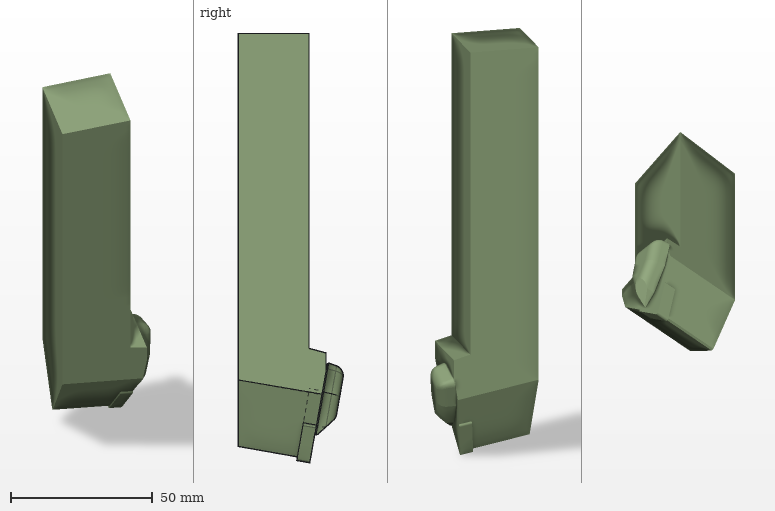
import cadquery as cq
import math


top_z = 151.4
shank_width = 25.0
shank_depth = 25.0
side_taper = 0.2

head_depth = 31.0
head_ledge_z = 40.4
ledge_angle = 15.0
rake_start_z = 32.7
rake_angle = 10.0

insert_angle = 55.0
insert_circle = 12.7
insert_thickness = 4.7
insert_nose_radius = 0.8

flank_inset = 0.6
holder_nose_flat = 0.9

clamp_height = 6.4
clamp_slope_foot = 10.0
clamp_slope_head = 18.2
clamp_draft = 10.0
clamp_top_fillet = 3.6
clamp_base_chamfer = 0.5
clamp_left_corner_radius = 2.3
clamp_right_corner_radius = 3.8

half_width = shank_width / 2
half_angle = math.radians(insert_angle / 2)
rake = math.radians(rake_angle)
nose_setback = insert_nose_radius * (1 / math.sin(half_angle) - 1)
tip_z = -nose_setback * math.cos(rake)
tip_y = head_depth - (rake_start_z - tip_z) * math.tan(rake)

rake_plane = cq.Plane(
    origin=(0, tip_y, tip_z),
    xDir=(1, 0, 0),
    normal=(0, -math.cos(rake), math.sin(rake)),
)
square_to_rake = cq.selectors.ParallelDirSelector(rake_plane.zDir)


def make_shank_and_head():
    """Square shank with a thicker head, limited by the tapered +X side."""
    ledge_edge_z = head_ledge_z - (head_depth - shank_depth) * math.tan(math.radians(ledge_angle))
    blank = (
        cq.Workplane("YZ", origin=(-half_width, 0, 0))
        .polyline([
            (0, tip_z),
            (tip_y, tip_z),
            (head_depth, rake_start_z),
            (head_depth, ledge_edge_z),
            (shank_depth, head_ledge_z),
            (shank_depth, top_z),
            (0, top_z),
        ])
        .close()
        .extrude(2 * shank_width)
    )
    taper_run = head_depth * math.tan(math.radians(side_taper))
    envelope = (
        cq.Workplane("XY", origin=(0, 0, tip_z))
        .polyline([
            (-half_width, 0),
            (half_width, 0),
            (half_width + taper_run, head_depth),
            (-half_width, head_depth),
        ])
        .close()
        .extrude(top_z - tip_z)
    )
    return blank.intersect(envelope)


def make_flank_wedge():
    """V-shaped prism, square to the rake face, that points the head."""
    apex = flank_inset / math.sin(half_angle)
    half_flat = holder_nose_flat / 2
    flat_height = apex + half_flat / math.tan(half_angle)
    far_height = 2 * top_z
    far_half_width = half_flat + (far_height - flat_height) * math.tan(half_angle)
    return (
        cq.Workplane(rake_plane)
        .polyline([
            (-half_flat, flat_height),
            (half_flat, flat_height),
            (far_half_width, far_height),
            (-far_half_width, far_height),
        ])
        .close()
        .extrude(top_z, both=True)
    )


def make_insert():
    """Diamond insert with rounded corners, its top face in the rake plane."""
    edge_length = insert_circle / math.sin(2 * half_angle)
    half_length = edge_length * math.cos(half_angle)
    half_breadth = edge_length * math.sin(half_angle)
    diamond = (
        cq.Workplane(rake_plane)
        .polyline([
            (0, 0),
            (half_breadth, half_length),
            (0, 2 * half_length),
            (-half_breadth, half_length),
        ])
        .close()
        .extrude(insert_thickness)
    )
    return diamond.edges(square_to_rake).fillet(insert_nose_radius)


def make_clamp():
    """Slanted clamp on the rake face, its nose sloping down onto the insert."""
    outline = [
        (-15.0, 32.8),
        (-9.4, 22.2),
        (-1.7, 13.8),
        (4.0, 10.9),
        (3.6, 26.3),
        (-1.5, 37.8),
    ]
    foot = (
        cq.Sketch()
        .polygon(outline + outline[:1])
        .vertices("<X")
        .fillet(clamp_left_corner_radius)
        .reset()
        .vertices(">Y")
        .fillet(clamp_right_corner_radius)
    )
    block = cq.Workplane(rake_plane).placeSketch(foot).extrude(-clamp_height, taper=clamp_draft)

    side_plane = cq.Plane(origin=rake_plane.origin, xDir=rake_plane.yDir, normal=(-1, 0, 0))
    behind_clamp = 2 * max(y for _, y in outline)
    profile = (
        cq.Workplane(side_plane)
        .polyline([
            (clamp_slope_foot, 0),
            (clamp_slope_head, clamp_height),
            (behind_clamp, clamp_height),
            (behind_clamp, 0),
        ])
        .close()
        .extrude(shank_width, both=True)
    )
    clamp = block.intersect(profile)
    outer_face = cq.selectors.DirectionMinMaxSelector(rake_plane.zDir, False)
    clamp = clamp.faces(outer_face).edges().fillet(clamp_top_fillet)
    foot_face = cq.selectors.DirectionMinMaxSelector(rake_plane.zDir, True)
    return clamp.faces(foot_face).edges().chamfer(clamp_base_chamfer)


insert = make_insert()
head = make_shank_and_head().intersect(make_flank_wedge())
holder = head.union(make_clamp()).cut(insert)

result = cq.Compound.makeCompound([holder.val(), insert.val()])